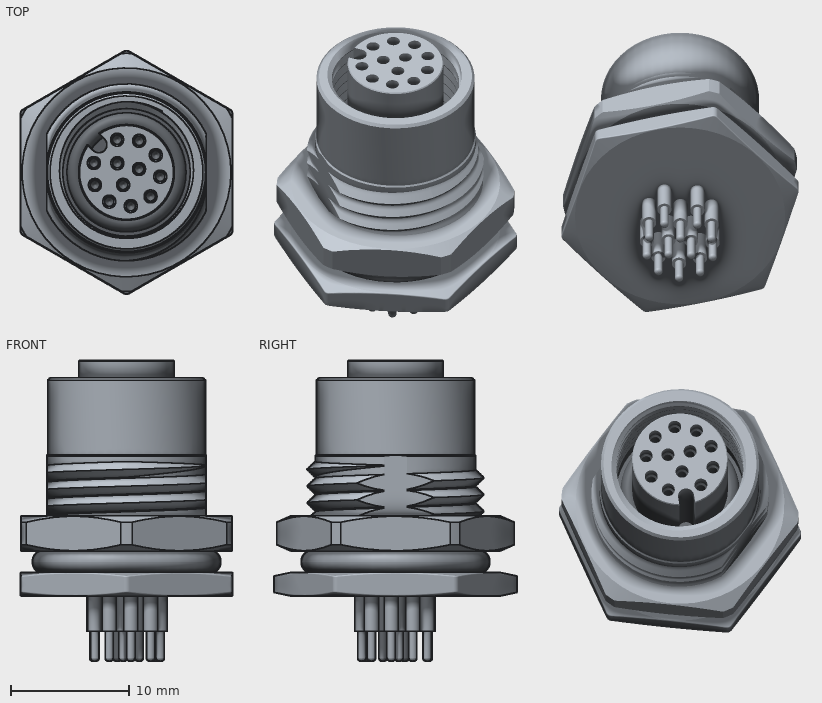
import cadquery as cq
import math

flange_height = 2.0
nut_bottom = 3.8
nut_height = 3.0
collar_top = 12.0
shell_top = 18.5
insert_top = 19.96
cavity_floor = 10.0

flange_across_flats = 18.0
flange_corner_radius = 0.5
flange_bevel_circle = 17.8
flange_bevel_angle = 12.0
flange_edge_radius = 0.1
nut_across_flats = 17.9
nut_corner_diameter = 20.15
nut_bevel_circle = 17.7
nut_bevel_angle = 24.0

shell_radius = 6.7
shell_rim_chamfer = 0.22
collar_radius = 6.82
collar_chamfer = 0.14
collar_flats_width = 13.5

thread_radius = 7.5
thread_pitch = 1.42
thread_turns = 4
thread_end_angle = -90.0
thread_end_height = 10.73
runout_turns = 0.25
runout_radius = 6.8

bore_radius = 5.4
bore_rim_chamfer = 0.2
inner_thread_radius = 6.0
inner_thread_pitch = 1.0
inner_thread_turns = 8
inner_thread_angle = 90.0

thread_fill = 0.98
thread_overlap = 0.03

seal_ring_radius = 7.0
seal_cord_radius = 1.0
cavity_seal_inner_radius = 3.57
cavity_seal_outer_radius = 5.05

insert_radius = 4.06
insert_chamfer = 0.08
key_angle = 135.0
key_width = 1.36
key_end_radius = 2.63

outer_contact_count = 9
outer_contact_circle = 2.88
outer_contact_step = 37.75
inner_contact_count = 3
inner_contact_circle = 1.1
socket_mouth_radius = 0.55
socket_mouth_depth = 1.2
socket_radius = 0.4
socket_depth = 3.0
socket_tip_angle = 45.0
pin_shoulder_radius = 0.6
pin_shoulder_length = 3.0
pin_radius = 0.36
pin_length = 5.53
pin_tip_radius = 0.3


def cylinder(radius, bottom, top):
    return cq.Workplane("XY").workplane(offset=bottom).circle(radius).extrude(top - bottom)


def hexagon(across_flats, bottom, height):
    """Hexagonal prism with its flats at -X and +X."""
    corner_diameter = across_flats / math.cos(math.pi / 6)
    prism = cq.Workplane("XY").polygon(6, corner_diameter).extrude(height)
    return prism.rotate((0, 0, 0), (0, 0, 1), 30).translate((0, 0, bottom))


def turned_blank(corner_radius, bevel_radius, bevel_angle, bottom, height):
    """Disc whose two rims are bevelled outward from the bevel circle."""
    bevel_height = (corner_radius - bevel_radius) * math.tan(math.radians(bevel_angle))
    top = bottom + height
    profile = [
        (0, bottom),
        (bevel_radius, bottom),
        (corner_radius, bottom + bevel_height),
        (corner_radius, top - bevel_height),
        (bevel_radius, top),
        (0, top),
    ]
    return cq.Workplane("XZ").polyline(profile).close().revolve(360, (0, 0), (0, 1))


def torus(ring_radius, cord_radius, height):
    cord = cq.Workplane("XZ").center(ring_radius, height).circle(cord_radius)
    return cord.revolve(360, (-ring_radius, 0), (-ring_radius, 1))


def thread(base_radius, crest_radius, pitch, turns, start_angle, start_height, end_crest_radius=None):
    """Right-handed V thread that rises from its start; the crest may drift to another radius."""
    crest_drift = 0 if end_crest_radius is None else end_crest_radius - crest_radius
    half_width = thread_fill * pitch / 2
    overlap = math.copysign(thread_overlap, base_radius - crest_radius)

    def crest_line(t):
        angle = 2 * math.pi * turns * t
        radius = crest_radius + crest_drift * t
        return (radius * math.cos(angle), radius * math.sin(angle), pitch * turns * t)

    if crest_drift:
        path = cq.Workplane("XY").parametricCurve(crest_line)
    else:
        path = cq.Workplane(cq.Wire.makeHelix(pitch, pitch * turns, crest_radius))
    profile = [
        (crest_radius, 0),
        (base_radius + overlap, half_width),
        (base_radius + overlap, -half_width),
    ]
    ridge = cq.Workplane("XZ").polyline(profile).close().sweep(path, isFrenet=True)
    return ridge.rotate((0, 0, 0), (0, 0, 1), start_angle).translate((0, 0, start_height))


def make_flange():
    """Hexagonal flange with rounded corners, bevelled faces and softened bevel edges."""
    prism = hexagon(flange_across_flats, 0, flange_height).edges("|Z").fillet(flange_corner_radius)
    corner_radius = flange_across_flats / 2 / math.cos(math.pi / 6)
    blank = turned_blank(corner_radius, flange_bevel_circle / 2, flange_bevel_angle, 0, flange_height)
    return prism.intersect(blank).edges("%HYPERBOLA").fillet(flange_edge_radius)


def make_nut():
    """Hexagonal nut with turned corners and bevelled faces."""
    prism = hexagon(nut_across_flats, nut_bottom, nut_height)
    blank = turned_blank(
        nut_corner_diameter / 2, nut_bevel_circle / 2, nut_bevel_angle, nut_bottom, nut_height
    )
    return prism.intersect(blank)


def make_collar():
    """Threaded stem with a flat on its -X and +X sides."""
    stem = cylinder(collar_radius, 0, collar_top).faces(">Z").chamfer(collar_chamfer)
    thread_start_height = thread_end_height - thread_turns * thread_pitch
    main_thread = thread(
        collar_radius, thread_radius, thread_pitch, thread_turns, thread_end_angle, thread_start_height
    )
    runout = thread(
        collar_radius,
        thread_radius,
        thread_pitch,
        runout_turns,
        thread_end_angle,
        thread_end_height,
        runout_radius,
    )
    between_flats = cq.Workplane("XY").box(
        collar_flats_width, 3 * thread_radius, collar_top, centered=(True, True, False)
    )
    return stem.union(main_thread).union(runout).intersect(between_flats)


def make_shell():
    return cylinder(shell_radius, 0, shell_top).faces(">Z").chamfer(shell_rim_chamfer)


def make_bore():
    """Cavity of the shell, flaring at its mouth."""
    rim_radius = bore_radius + bore_rim_chamfer
    profile = [
        (0, cavity_floor),
        (bore_radius, cavity_floor),
        (bore_radius, shell_top - bore_rim_chamfer),
        (rim_radius, shell_top),
        (0, shell_top),
    ]
    return cq.Workplane("XZ").polyline(profile).close().revolve(360, (0, 0), (0, 1))


def make_bore_groove():
    """Inner thread; its root meets the shell rim on the +Y side and runs on past it."""
    start_height = shell_top - (inner_thread_turns - 1) * inner_thread_pitch
    return thread(
        bore_radius,
        inner_thread_radius,
        inner_thread_pitch,
        inner_thread_turns,
        inner_thread_angle,
        start_height,
    )


def make_insert():
    """Contact carrier with a round-ended keyway cut into its side."""
    body = cylinder(insert_radius, 0, insert_top).faces(">Z").chamfer(insert_chamfer)
    key_length = 2 * insert_radius - key_end_radius
    key = (
        cq.Workplane("XY")
        .workplane(offset=cavity_floor)
        .center(key_end_radius + key_length / 2, 0)
        .slot2D(key_length, key_width)
        .extrude(insert_top - cavity_floor)
        .rotate((0, 0, 0), (0, 0, 1), key_angle)
    )
    return body.cut(key)


def contact_points():
    gap = 360 - (outer_contact_count - 1) * outer_contact_step
    polar = [
        (outer_contact_circle, key_angle + gap / 2 + i * outer_contact_step)
        for i in range(outer_contact_count)
    ]
    polar += [
        (inner_contact_circle, key_angle + i * 360 / inner_contact_count)
        for i in range(inner_contact_count)
    ]
    return [
        (r * math.cos(math.radians(a)), r * math.sin(math.radians(a)))
        for r, a in polar
    ]


def make_socket():
    """Contact bore with a wide mouth, a bevelled step and a conical end."""
    bevel_depth = socket_mouth_radius - socket_radius
    tip_depth = socket_radius * math.tan(math.radians(socket_tip_angle))
    profile = [
        (0, 0),
        (socket_mouth_radius, 0),
        (socket_mouth_radius, -socket_mouth_depth),
        (socket_radius, -socket_mouth_depth - bevel_depth),
        (socket_radius, -socket_depth),
        (0, -socket_depth - tip_depth),
    ]
    bore = cq.Workplane("XZ").polyline(profile).close().revolve(360, (0, 0), (0, 1))
    return bore.translate((0, 0, insert_top))


def make_pin():
    """Solder pin with a shoulder and a rounded tip."""
    tip = cylinder(pin_radius, -pin_length, flange_height / 2).faces("<Z").edges().fillet(pin_tip_radius)
    shoulder = cylinder(pin_shoulder_radius, -pin_shoulder_length, flange_height / 2)
    return tip.union(shoulder)


def make_cavity_seal():
    ring_radius = (cavity_seal_inner_radius + cavity_seal_outer_radius) / 2
    cord_radius = (cavity_seal_outer_radius - cavity_seal_inner_radius) / 2
    return torus(ring_radius, cord_radius, cavity_floor + cord_radius / 2)


def make_contact_set(contact):
    """Copies of one socket or pin at every contact position."""
    copies = [contact.val().translate(cq.Vector(x, y, 0)) for x, y in contact_points()]
    return cq.Workplane(cq.Compound.makeCompound(copies))


seal = torus(seal_ring_radius, seal_cord_radius, (flange_height + nut_bottom) / 2)
mounting = make_flange().union(make_nut()).union(seal)
housing = make_shell().union(make_collar()).cut(make_bore()).cut(make_bore_groove())
core = make_insert().union(make_cavity_seal()).cut(make_contact_set(make_socket()))
result = housing.union(core).union(mounting).union(make_contact_set(make_pin()))